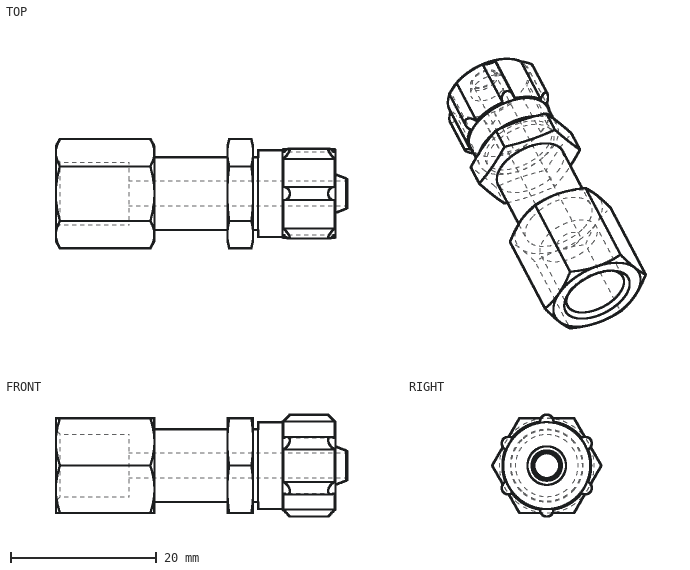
import cadquery as cq
import math

total_length = 40.0

hex_corner_diameter = 15.0
hex_flat_width = hex_corner_diameter * math.cos(math.radians(30))
body_hex_length = 13.5
body_hex_bevel = 0.55
lock_nut_start = 23.5
lock_nut_length = 3.5
lock_nut_bevel = 0.25

tube_diameter = 10.0
collar_start = 27.7
collar_diameter = 11.9
knob_start = 31.05
knob_end = 38.35
knob_diameter = 12.2
tip_base_diameter = 5.3
tip_edge_diameter = 4.15
tip_end_diameter = 3.8
tip_bevel_length = 0.2

rib_count = 6
rib_outer_diameter = 14.0
rib_radius = (rib_outer_diameter - knob_diameter) / 2
knob_bevel = (rib_outer_diameter - collar_diameter) / 2

socket_diameter = 8.55
socket_mouth_diameter = 9.75
socket_mouth_depth = (socket_mouth_diameter - socket_diameter) / 2
socket_depth = 10.0
through_diameter = 3.4


def cylinder(start, end, diameter):
    """Solid cylinder about the X axis."""
    return cq.Workplane("YZ", origin=(start, 0, 0)).circle(diameter / 2).extrude(end - start)


def cone(start, end, start_diameter, end_diameter):
    """Solid truncated cone about the X axis."""
    profile = [(start, 0), (start, start_diameter / 2), (end, end_diameter / 2), (end, 0)]
    return cq.Workplane("XY").polyline(profile).close().revolve(360, (0, 0, 0), (1, 0, 0))


def beveled_ends(start, end, face_diameter, middle_diameter, bevel):
    """Cylinder about the X axis that tapers to face_diameter at both ends."""
    middle = cylinder(start + bevel, end - bevel, middle_diameter)
    near_end = cone(start, start + bevel, face_diameter, middle_diameter)
    far_end = cone(end - bevel, end, middle_diameter, face_diameter)
    return middle.union(near_end).union(far_end)


def hexagon(start, length, bevel):
    """Hexagonal prism with its corners beveled at both ends."""
    prism = cq.Workplane("YZ", origin=(start, 0, 0)).polygon(6, hex_corner_diameter).extrude(length)
    envelope = beveled_ends(start, start + length, hex_flat_width, hex_corner_diameter, bevel)
    return prism.intersect(envelope)


def grip_knob():
    """Round knob with half-round ribs, its ends sloping at 45 degrees down to the collar diameter."""
    ribs = (
        cq.Workplane("YZ", origin=(knob_start, 0, 0))
        .polarArray(knob_diameter / 2, 90, 360, rib_count)
        .circle(rib_radius)
        .extrude(knob_end - knob_start)
    )
    envelope = beveled_ends(knob_start, knob_end, collar_diameter, rib_outer_diameter, knob_bevel)
    return cylinder(knob_start, knob_end, knob_diameter).union(ribs).intersect(envelope)


def tip():
    """Tapered tip with a beveled outer edge."""
    bevel_start = total_length - tip_bevel_length
    taper = cone(knob_end, bevel_start, tip_base_diameter, tip_edge_diameter)
    bevel = cone(bevel_start, total_length, tip_edge_diameter, tip_end_diameter)
    return taper.union(bevel)


def bores():
    """Socket with a chamfered mouth, and the narrow passage through the fitting."""
    socket = cylinder(0, socket_depth, socket_diameter)
    mouth = cone(0, socket_mouth_depth, socket_mouth_diameter, socket_diameter)
    passage = cylinder(0, total_length, through_diameter)
    return socket.union(mouth).union(passage)


fitting = (
    hexagon(0, body_hex_length, body_hex_bevel)
    .union(cylinder(body_hex_length, collar_start, tube_diameter))
    .union(hexagon(lock_nut_start, lock_nut_length, lock_nut_bevel))
    .union(cylinder(collar_start, knob_start, collar_diameter))
    .union(grip_knob())
    .union(tip())
)
result = fitting.cut(bores())